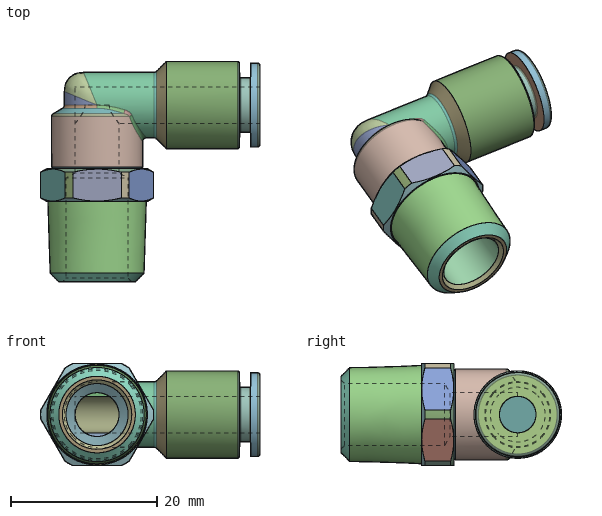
import cadquery as cq
import math


tube_radius = 4.5
bend_half_angle = 22.5
bend_direction = 135.0

body_radius = 6.25
body_end = -8.7
body_end_chamfer = 0.2
shoulder_start = -0.29
shoulder_angle = 30.0
shoulder_blend = 0.5

hex_sides = 6
hex_flats = 14.0
hex_corner_radius = 7.75
hex_length = 4.5
hex_face_radius = 6.9
hex_chamfer_angle = 30.0

thread_end = -24.2
thread_large_radius = 6.75
thread_taper = 1 / 32
thread_chamfer = 1.2

sleeve_radius = 6.0
sleeve_start = 8.0
sleeve_end = 19.5
sleeve_neck_blend = 0.5
sleeve_end_chamfer = 0.2

boss_radius = 4.4
boss_end = 19.55
neck_radius = 3.75
neck_fillet = 0.13
ring_radius = 5.75
ring_start = 21.0
ring_end = 22.3
ring_fillet = 0.35

stem_bore_radius = 3.0
arm_bore_radius = 2.5
counterbore_radius = 4.25
counterbore_end = -10.0
counterbore_mouth_chamfer = 0.5
bore_tip_angle = 120.0

hex_end = body_end - hex_length
stem_axis = ((0, 0), (0, 1))
arm_axis = ((0, 0), (1, 0))


def revolve_outline(points, axis):
    """Revolve a closed outline drawn in the XY plane about an axis."""
    axis_start, axis_end = axis
    return cq.Workplane("XY").polyline(points).close().revolve(360, axis_start, axis_end)


def make_bend():
    """Rounded elbow corner: the ellipsoid that is tangent to both tubes at their mitred ends."""
    half_angle = math.radians(bend_half_angle)
    slope = math.tan(half_angle)
    long_scale = math.sqrt(1 + slope)
    short_scale = long_scale * math.sqrt(slope)
    stretch = cq.Matrix([
        [long_scale, 0, 0, 0],
        [0, short_scale, 0, 0],
        [0, 0, 1, 0],
    ])
    ball = cq.Workplane("XY").sphere(tube_radius).val().transformGeometry(stretch)
    reach = 2 * tube_radius
    wedge = (
        cq.Workplane("XY")
        .polyline([(0, 0), (reach, reach * slope), (reach, -reach * slope)])
        .close()
        .extrude(tube_radius, both=True)
    )
    return wedge.intersect(cq.Workplane(ball)).rotate((0, 0, 0), (0, 0, 1), bend_direction)


def make_arm_tube():
    """Arm tube, cut back at the mitre plane on its outer side."""
    setback = tube_radius * math.tan(math.radians(bend_half_angle))
    tube = cq.Workplane("YZ").workplane(offset=-setback).circle(tube_radius).extrude(setback + sleeve_start)
    keep = (
        cq.Workplane("XY")
        .polyline([
            (0, 0),
            (-setback, tube_radius),
            (sleeve_start, tube_radius),
            (sleeve_start, -tube_radius),
            (0, -tube_radius),
        ])
        .close()
        .extrude(tube_radius, both=True)
    )
    return tube.intersect(keep)


def make_stem_tube():
    """Stem tube: the arm tube reflected across the bend's mitre diagonal, so it runs down -Y."""
    return make_arm_tube().rotate((0, 0, 0), (0, 0, 1), 90).mirror("XZ")


def make_body():
    """Cylindrical stem body with a blended conical shoulder."""
    slope = math.tan(math.radians(shoulder_angle))
    shoulder_end = shoulder_start - (body_radius - tube_radius) * slope
    body = revolve_outline(
        [
            (0, shoulder_start + tube_radius * slope),
            (body_radius, shoulder_end),
            (body_radius, body_end + body_end_chamfer),
            (body_radius - body_end_chamfer, body_end),
            (0, body_end),
        ],
        stem_axis,
    )
    return body.edges("%CIRCLE").edges(">Y").fillet(shoulder_blend)


def make_elbow():
    """Bent tube joined to the stem body, with a blend all along the joint."""
    elbow = make_bend().union(make_arm_tube()).union(make_stem_tube()).union(make_body())
    joint_point = (-tube_radius, shoulder_start, 0)
    return elbow.edges(cq.selectors.NearestToPointSelector(joint_point)).fillet(shoulder_blend)


def make_hexagon():
    """Wrench hexagon with rounded corners and both faces chamfered."""
    across_corners = hex_flats / math.cos(math.pi / hex_sides)
    prism = (
        cq.Workplane("XZ", origin=(0, body_end, 0))
        .polygon(hex_sides, across_corners)
        .extrude(hex_length)
    )
    chamfer_height = (hex_corner_radius - hex_face_radius) * math.tan(math.radians(hex_chamfer_angle))
    envelope = revolve_outline(
        [
            (0, body_end),
            (hex_face_radius, body_end),
            (hex_corner_radius, body_end - chamfer_height),
            (hex_corner_radius, hex_end + chamfer_height),
            (hex_face_radius, hex_end),
            (0, hex_end),
        ],
        stem_axis,
    )
    return prism.intersect(envelope)


def make_thread():
    """Tapered thread envelope with a chamfered end."""
    chamfer_start = thread_end + thread_chamfer
    tip_radius = thread_large_radius - (hex_end - chamfer_start) * thread_taper
    return revolve_outline(
        [
            (0, hex_end),
            (thread_large_radius, hex_end),
            (tip_radius, chamfer_start),
            (tip_radius - thread_chamfer, thread_end),
            (0, thread_end),
        ],
        stem_axis,
    )


def make_sleeve():
    """Sleeve on the arm, widening from the tube at 45 degrees."""
    return revolve_outline(
        [
            (sleeve_start, 0),
            (sleeve_start, tube_radius),
            (sleeve_start + sleeve_radius - tube_radius, sleeve_radius),
            (sleeve_end - sleeve_end_chamfer, sleeve_radius),
            (sleeve_end, sleeve_radius - sleeve_end_chamfer),
            (sleeve_end, 0),
        ],
        arm_axis,
    )


def make_release_ring():
    """Release ring with its neck and the low boss on the sleeve's end face."""
    ring = cq.Workplane("YZ", origin=(ring_start, 0, 0)).circle(ring_radius).extrude(ring_end - ring_start)
    ring = ring.faces(">X").edges().fillet(ring_fillet)
    boss = cq.Workplane("YZ", origin=(sleeve_end, 0, 0)).circle(boss_radius).extrude(boss_end - sleeve_end)
    neck = cq.Workplane("YZ", origin=(boss_end, 0, 0)).circle(neck_radius).extrude(ring_start - boss_end)
    release_ring = boss.union(neck).union(ring)
    for neck_end in (boss_end, ring_start):
        neck_edge = cq.selectors.BoxSelector(
            (neck_end - neck_fillet, -neck_radius - neck_fillet, -neck_radius - neck_fillet),
            (neck_end + neck_fillet, neck_radius + neck_fillet, neck_radius + neck_fillet),
            boundingbox=True,
        )
        release_ring = release_ring.edges("%CIRCLE").edges(neck_edge).fillet(neck_fillet)
    return release_ring


def make_stem_bore():
    """Bore of the stem: chamfered mouth, wide section, cone, then the narrow bore up to the arm axis."""
    cone_length = (counterbore_radius - stem_bore_radius) / math.tan(math.radians(bore_tip_angle / 2))
    return revolve_outline(
        [
            (0, thread_end),
            (counterbore_radius + counterbore_mouth_chamfer, thread_end),
            (counterbore_radius, thread_end + counterbore_mouth_chamfer),
            (counterbore_radius, counterbore_end),
            (stem_bore_radius, counterbore_end + cone_length),
            (stem_bore_radius, 0),
            (0, 0),
        ],
        stem_axis,
    )


def make_arm_bore():
    """Bore of the arm, open at the release ring and reaching across the whole stem bore."""
    return (
        cq.Workplane("YZ", origin=(-stem_bore_radius, 0, 0))
        .circle(arm_bore_radius)
        .extrude(stem_bore_radius + ring_end)
    )


def make_elbow_with_sleeve():
    """Elbow and sleeve, blended where the tube meets the sleeve's cone."""
    joined = make_elbow().union(make_sleeve())
    joint = cq.selectors.NearestToPointSelector((sleeve_start, 0, 0))
    return joined.edges("%CIRCLE").edges(joint).fillet(sleeve_neck_blend)


fitting = make_elbow_with_sleeve()
for piece in (make_hexagon(), make_thread(), make_release_ring()):
    fitting = fitting.union(piece)

result = fitting.cut(make_stem_bore()).cut(make_arm_bore())